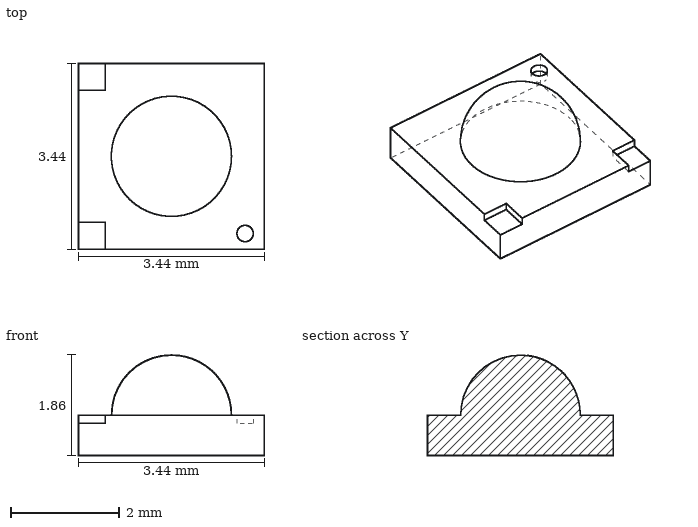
import cadquery as cq

side = 3.44
base_height = 0.75

lens_radius = 1.11

notch_size = 0.5
notch_depth = 0.15

marker_diameter = 0.303
marker_x = 1.362
marker_y = -1.428
marker_depth = notch_depth


def make_base():
    return cq.Workplane("XY").box(side, side, base_height, centered=(True, True, False))


def make_lens():
    """Dome whose equator lies on the top face of the base."""
    ball = cq.Workplane("XY").sphere(lens_radius)
    upper_half = cq.Workplane("XY").box(
        2 * lens_radius, 2 * lens_radius, lens_radius, centered=(True, True, False)
    )
    return ball.intersect(upper_half).translate((0, 0, base_height))


def make_corner_notches():
    notch_offset = (side - notch_size) / 2
    return (
        cq.Workplane("XY", origin=(0, 0, base_height))
        .pushPoints([(-notch_offset, y_sign * notch_offset) for y_sign in (-1, 1)])
        .rect(notch_size, notch_size)
        .extrude(-notch_depth)
    )


def make_marker():
    return (
        cq.Workplane("XY", origin=(marker_x, marker_y, base_height))
        .circle(marker_diameter / 2)
        .extrude(-marker_depth)
    )


result = make_base().cut(make_corner_notches()).cut(make_marker()).union(make_lens())